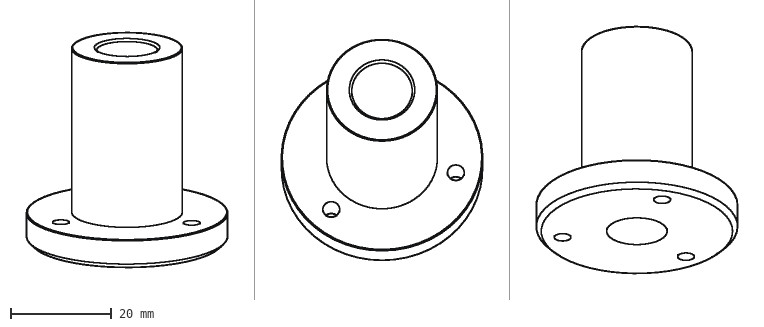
import cadquery as cq

flange_diameter = 40.0
flange_thickness = 6.0
flange_bottom_chamfer = 1.0
edge_break = 0.2

total_height = 40.0
sleeve_diameter = 22.0
bore_diameter = 12.0
bore_mouth_diameter = 13.0
bore_chamfer = (bore_mouth_diameter - bore_diameter) / 2

hole_count = 3
hole_diameter = 3.3
hole_circle_radius = 15.0


def make_flange():
    disc = cq.Workplane("XY").circle(flange_diameter / 2).extrude(flange_thickness)
    disc = disc.faces("<Z").chamfer(flange_bottom_chamfer)
    return disc.faces(">Z").chamfer(edge_break)


def make_sleeve():
    sleeve = cq.Workplane("XY").circle(sleeve_diameter / 2).extrude(total_height)
    return sleeve.faces(">Z").chamfer(edge_break)


def make_bore():
    return cq.Workplane("XY").circle(bore_diameter / 2).extrude(total_height)


def make_mounting_holes():
    return (
        cq.Workplane("XY")
        .polarArray(hole_circle_radius, 0, 360, hole_count)
        .circle(hole_diameter / 2)
        .extrude(flange_thickness)
    )


body = make_flange().union(make_sleeve())
body = body.cut(make_bore()).cut(make_mounting_holes())

bore_rim = cq.selectors.RadiusNthSelector(0)
result = body.faces(">Z").edges(bore_rim).chamfer(bore_chamfer)